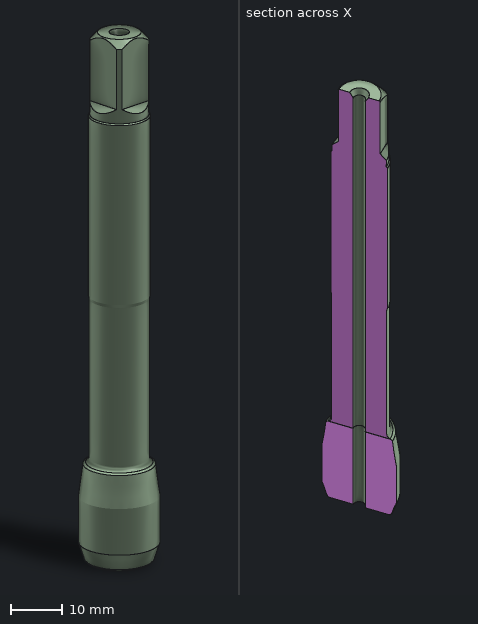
import cadquery as cq
import math

total_length = 110.0
bore_diameter = 2.5

head_diameter = 16.1
head_bottom_diameter = 13.9
head_tip_diameter = 13.0
head_top_diameter = 14.3
tip_chamfer_height = 0.4
lead_top = 3.8
back_taper_bottom = 13.4
head_top_chamfer_bottom = 20.1
head_top = 20.5

neck_diameter = 11.9
flare_diameter = 13.2
flare_height = 1.0
barrel_diameter = 12.2
barrel_bottom = 54.6
barrel_top = 93.0
barrel_bottom_chamfer = 0.7
collar_diameter = 11.7
square_width = 9.0
square_bottom = 95.9
end_face_diameter = 8.6
countersink_diameter = 4.0
countersink_angle = 60.0


def revolve_profile(points):
    """Revolve a closed (radius, height) outline about the Z axis."""
    return cq.Workplane("XZ").polyline(points).close().revolve(360, (0, 0, 0), (0, 1, 0))


def make_bore():
    """Through hole along the axis."""
    return cq.Workplane("XY").circle(bore_diameter / 2).extrude(total_length)


def make_head():
    """Round head with a lead taper below and a back taper above."""
    outline = [
        (0, 0),
        (head_tip_diameter / 2, 0),
        (head_bottom_diameter / 2, tip_chamfer_height),
        (head_diameter / 2, lead_top),
        (head_diameter / 2, back_taper_bottom),
        (head_top_diameter / 2, head_top_chamfer_bottom),
        (flare_diameter / 2, head_top),
        (0, head_top),
    ]
    return revolve_profile(outline).cut(make_bore())


def make_shank_blank():
    """Turned shank, from the flare on the head to the chamfered end face."""
    collar_radius = collar_diameter / 2
    barrel_radius = barrel_diameter / 2
    neck_radius = neck_diameter / 2
    end_radius = end_face_diameter / 2
    flare_radius = flare_diameter / 2
    flare_top = head_top + flare_height
    flare_width = flare_radius - neck_radius
    arc_radius = (flare_width**2 + flare_height**2) / (2 * flare_width)
    half_sweep = math.asin(flare_height / arc_radius) / 2
    flare_middle = (
        neck_radius + arc_radius * (1 - math.cos(half_sweep)),
        flare_top - arc_radius * math.sin(half_sweep),
    )
    above_flare = [
        (neck_radius, barrel_bottom),
        (barrel_radius, barrel_bottom + barrel_bottom_chamfer),
        (barrel_radius, barrel_top - (barrel_radius - collar_radius)),
        (collar_radius, barrel_top),
        (collar_radius, total_length - (collar_radius - end_radius)),
        (end_radius, total_length),
        (0, total_length),
    ]
    outline = (
        cq.Workplane("XZ")
        .moveTo(0, head_top)
        .lineTo(flare_radius, head_top)
        .threePointArc(flare_middle, (neck_radius, flare_top))
        .polyline(above_flare, includeCurrent=True)
        .close()
    )
    return outline.revolve(360, (0, 0, 0), (0, 1, 0))


def make_flat_cutter():
    """Cutter for one flat of the square, with a 45 degree run-out at its foot."""
    inner = square_width / 2
    outer = barrel_diameter
    outline = [
        (inner, square_bottom),
        (outer, square_bottom - (outer - inner)),
        (outer, total_length),
        (inner, total_length),
    ]
    cutter = cq.Workplane("XZ").polyline(outline).close()
    return cutter.extrude(barrel_diameter / 2, both=True)


def make_countersink():
    """Conical centre mouth at the top of the bore."""
    mouth_radius = countersink_diameter / 2
    depth = mouth_radius / math.tan(math.radians(countersink_angle / 2))
    outline = [(0, total_length), (mouth_radius, total_length), (0, total_length - depth)]
    return revolve_profile(outline)


def make_shank():
    """Shank with its square drive, bore and countersink."""
    shank = make_shank_blank()
    for side in range(4):
        shank = shank.cut(make_flat_cutter().rotate((0, 0, 0), (0, 0, 1), side * 90))
    return shank.cut(make_bore()).cut(make_countersink())


head = make_head()
shank = make_shank()

result = cq.Compound.makeCompound([head.val(), shank.val()])